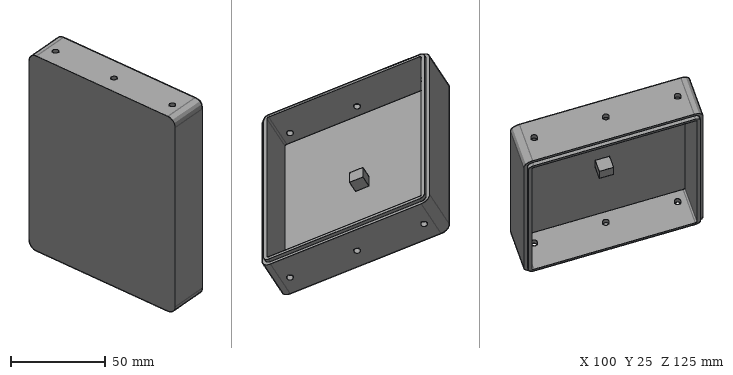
import cadquery as cq

width = 100.0
height = 125.0
depth = 25.0
corner_radius = 5.0

lip_inset = 2.0
lip_height = 2.0
body_depth = depth - lip_height

wall = 2 * lip_inset
panel_thickness = wall

hole_diameter = 3.5
hole_spacing = 40.0
hole_y = 10.0

block_size = 8.0
block_top_y = 11.0


def rounded_slab(inset, start_y, end_y):
    """Slab from start_y to end_y whose rounded outline is inset from the outer one."""
    slab = cq.Workplane("XY").box(
        width - 2 * inset,
        end_y - start_y,
        height - 2 * inset,
        centered=(True, False, True),
    )
    slab = slab.edges("|Y").fillet(corner_radius - inset)
    return slab.translate((0, start_y, 0))


def enclosure_shell():
    """Outer body with its lip, hollowed from the back."""
    body = rounded_slab(0, 0, body_depth)
    lip = rounded_slab(lip_inset, body_depth, depth)
    cavity = rounded_slab(wall, panel_thickness, depth)
    return body.union(lip).cut(cavity)


def screw_holes():
    """Three full-height cutters in a row across the width."""
    centres = [(step * hole_spacing, hole_y) for step in (-1, 0, 1)]
    return (
        cq.Workplane("XY", origin=(0, 0, -height / 2))
        .pushPoints(centres)
        .circle(hole_diameter / 2)
        .extrude(height)
    )


def inner_block():
    """Square block rising from the middle of the front panel."""
    return cq.Workplane("XY").box(block_size, block_top_y, block_size, centered=(True, False, True))


result = enclosure_shell().cut(screw_holes()).union(inner_block())